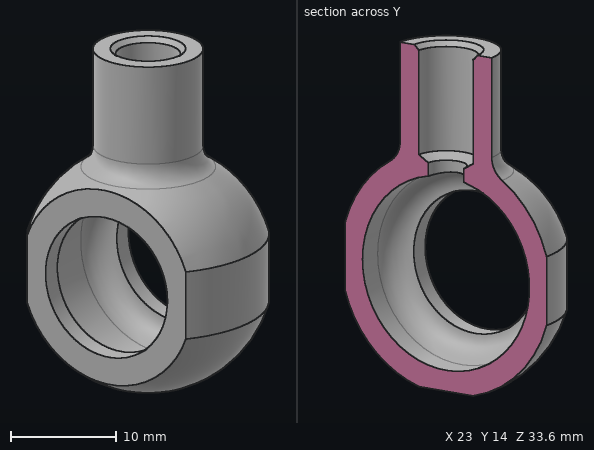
import cadquery as cq
import math


total_height = 33.6
ball_radius = 12.0
ball_center_z = 11.6
belt_radius = 23.0 / 2
body_width = 14.0

neck_radius = 10.5 / 2
neck_fillet = 2.5

bore_diameter = 14.0
groove_diameter = 19.0
groove_width = 10.0

passage_diameter = 6.15
port_diameter = 4.0
mouth_chamfer = 0.5
passage_end_z = 22.85
port_cone_angle = 59.0


def turned_body():
    """Ball, belt, neck and blending fillet, turned about Z."""
    base_radius = math.sqrt(ball_radius**2 - ball_center_z**2)
    belt_half_height = math.sqrt(ball_radius**2 - belt_radius**2)
    belt_bottom = ball_center_z - belt_half_height
    belt_top = ball_center_z + belt_half_height

    fillet_x = neck_radius + neck_fillet
    fillet_rise = math.sqrt((ball_radius + neck_fillet) ** 2 - fillet_x**2)
    fillet_z = ball_center_z + fillet_rise
    contact = ball_radius / (ball_radius + neck_fillet)
    contact_x = fillet_x * contact
    contact_z = ball_center_z + fillet_rise * contact

    def ball_point(x_start, z_start, x_end, z_end):
        """Point on the ball outline midway between two of its points."""
        angle_start = math.atan2(z_start - ball_center_z, x_start)
        angle_end = math.atan2(z_end - ball_center_z, x_end)
        angle = (angle_start + angle_end) / 2
        return (ball_radius * math.cos(angle), ball_center_z + ball_radius * math.sin(angle))

    fillet_angle = math.pi + math.atan2(fillet_rise, fillet_x) / 2
    fillet_middle = (
        fillet_x + neck_fillet * math.cos(fillet_angle),
        fillet_z + neck_fillet * math.sin(fillet_angle),
    )

    return (
        cq.Workplane("XZ")
        .lineTo(base_radius, 0)
        .threePointArc(ball_point(base_radius, 0, belt_radius, belt_bottom), (belt_radius, belt_bottom))
        .lineTo(belt_radius, belt_top)
        .threePointArc(ball_point(belt_radius, belt_top, contact_x, contact_z), (contact_x, contact_z))
        .threePointArc(fillet_middle, (neck_radius, fillet_z))
        .lineTo(neck_radius, total_height)
        .lineTo(0, total_height)
        .close()
        .revolve(360, (0, 0, 0), (0, 1, 0))
    )


def cross_cylinder(diameter, width):
    """Cylinder along Y through the ball center, centered on the XZ plane."""
    return (
        cq.Workplane("XZ", origin=(0, 0, ball_center_z))
        .circle(diameter / 2)
        .extrude(width / 2, both=True)
    )


def bore_groove():
    """Annular groove in the bore with walls rounded over the full groove depth."""
    groove_depth = (groove_diameter - bore_diameter) / 2
    return cross_cylinder(groove_diameter, groove_width).edges().fillet(groove_depth)


def neck_passage():
    """Chamfered blind passage with a conical end and a port down to the bore."""
    passage_radius = passage_diameter / 2
    port_radius = port_diameter / 2
    cone_depth = (passage_radius - port_radius) / math.tan(math.radians(port_cone_angle))
    return (
        cq.Workplane("XZ")
        .moveTo(0, ball_center_z)
        .lineTo(port_radius, ball_center_z)
        .lineTo(port_radius, passage_end_z - cone_depth)
        .lineTo(passage_radius, passage_end_z)
        .lineTo(passage_radius, total_height - mouth_chamfer)
        .lineTo(passage_radius + mouth_chamfer, total_height)
        .lineTo(0, total_height)
        .close()
        .revolve(360, (0, 0, 0), (0, 1, 0))
    )


side_flats = cq.Workplane("XY").box(
    2 * belt_radius, body_width, total_height, centered=(True, True, False)
)

result = (
    turned_body()
    .intersect(side_flats)
    .cut(cross_cylinder(bore_diameter, body_width))
    .cut(bore_groove())
    .cut(neck_passage())
)